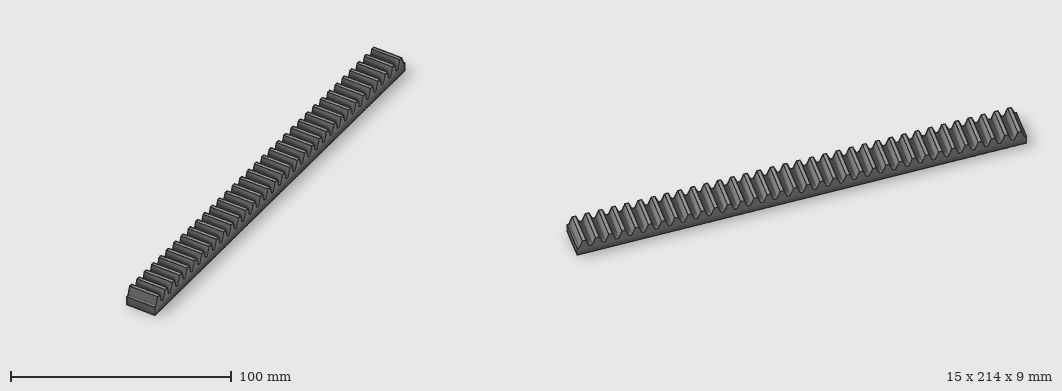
import cadquery as cq
import math

module = 2.0
tooth_count = 34
pressure_angle = math.radians(20)
face_width = 15.0
rack_length = 214.0
rack_height = 9.0
root_radius = 0.5

pitch = math.pi * module
addendum = module
dedendum = 1.25 * module
pitch_line_z = rack_height - addendum
root_z = pitch_line_z - dedendum
tip_half_width = pitch / 4 - addendum * math.tan(pressure_angle)

gap_top_half_width = pitch / 2 - tip_half_width
gap_root_half_width = pitch / 4 - dedendum * math.tan(pressure_angle)


def make_blank():
    """Plain bar centred on X and Y, standing on Z = 0."""
    return cq.Workplane("XY").box(face_width, rack_length, rack_height, centered=(True, True, False))


def make_gap(center_y):
    """Cutter for one tooth gap, with rounded corners at the root."""
    gap_outline = [
        (center_y - gap_top_half_width, rack_height),
        (center_y - gap_root_half_width, root_z),
        (center_y + gap_root_half_width, root_z),
        (center_y + gap_top_half_width, rack_height),
    ]
    gap = cq.Workplane("YZ").polyline(gap_outline).close().extrude(face_width / 2, both=True)
    return gap.faces("<Z").edges("|X").fillet(root_radius)


def make_rack():
    """Bar with a gap on each side of every tooth; the bar ends cut the outermost gaps just past mid-width."""
    rack = make_blank()
    for gap_index in range(tooth_count + 1):
        gap_y = (gap_index - tooth_count / 2) * pitch
        rack = rack.cut(make_gap(gap_y))
    return rack


result = make_rack()